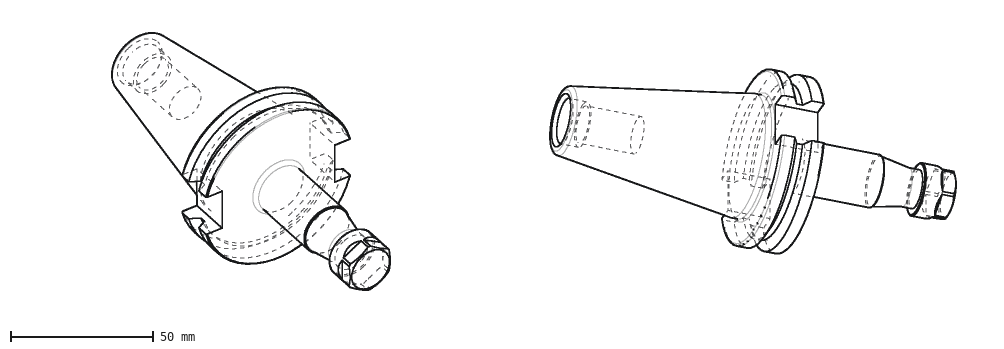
import cadquery as cq
import math


gauge_radius = 44.45 / 2
taper_length = 68.25
taper_slope = 7 / 48
shank_end_x = -taper_length
shank_end_radius = gauge_radius - taper_length * taper_slope
shank_end_fillet = 1.5

flange_front_x = 3.175
flange_back_x = 19.05
flange_radius = 63.26 / 2
flange_front_fillet = 0.9
flange_back_fillet = 0.4
flange_root_fillet = 0.9

groove_center_x = 11.15
groove_floor_width = 2.2
groove_floor_radius = 56 / 2
groove_wall_angle = 30

slot_width = 16.26
slot_floor_y = 23.9

overall_length = 145.16
tip_x = shank_end_x + overall_length
nose_radius = 19.05 / 2
nose_root_fillet = 1.5
nose_end_x = 49.6
nose_edge_chamfer = 0.4
neck_start_x = 60.75
neck_radius = 14 / 2

nut_start_x = 64.7
nut_radius = 19.05 / 2
nut_edge_chamfer = 0.4
nut_across_flats = 17
flat_start_x = 71.7
nut_tip_radius = 8
nut_tip_angle = 30

bore_radius = 16.26 / 2
bore_depth = 8
bore_mouth_radius = 19.05 / 2
bore_mouth_angle = 45
thread_radius = 13.39 / 2
thread_depth = 28.5


def revolve_about_x(profile):
    """Turn a closed (x, radius) profile about the X axis."""
    return profile.close().revolve(360, (0, 0, 0), (1, 0, 0))


def make_turned_body():
    tip_chamfer = (nut_radius - nut_tip_radius) * math.tan(math.radians(nut_tip_angle))

    taper_angle = math.atan(taper_slope)
    arc_x = shank_end_x + shank_end_fillet
    arc_radius = shank_end_radius + shank_end_fillet * (taper_slope - 1 / math.cos(taper_angle))

    def arc_point(angle):
        return (
            arc_x + shank_end_fillet * math.cos(angle),
            arc_radius + shank_end_fillet * math.sin(angle),
        )

    taper_tangent = math.pi / 2 + taper_angle
    arc_middle = (math.pi + taper_tangent) / 2

    profile = (
        cq.Workplane("XY")
        .moveTo(shank_end_x, 0)
        .lineTo(*arc_point(math.pi))
        .threePointArc(arc_point(arc_middle), arc_point(taper_tangent))
        .lineTo(0, gauge_radius)
        .lineTo(flange_front_x - flange_root_fillet, gauge_radius)
        .radiusArc((flange_front_x, gauge_radius + flange_root_fillet), -flange_root_fillet)
        .lineTo(flange_front_x, flange_radius - flange_front_fillet)
        .radiusArc((flange_front_x + flange_front_fillet, flange_radius), flange_front_fillet)
        .lineTo(flange_back_x - flange_back_fillet, flange_radius)
        .radiusArc((flange_back_x, flange_radius - flange_back_fillet), flange_back_fillet)
        .lineTo(flange_back_x, nose_radius + nose_root_fillet)
        .radiusArc((flange_back_x + nose_root_fillet, nose_radius), -nose_root_fillet)
        .lineTo(nose_end_x - nose_edge_chamfer, nose_radius)
        .lineTo(nose_end_x, nose_radius - nose_edge_chamfer)
        .lineTo(neck_start_x, neck_radius)
        .lineTo(nut_start_x, neck_radius)
        .lineTo(nut_start_x, nut_radius - nut_edge_chamfer)
        .lineTo(nut_start_x + nut_edge_chamfer, nut_radius)
        .lineTo(tip_x - tip_chamfer, nut_radius)
        .lineTo(tip_x, nut_tip_radius)
        .lineTo(tip_x, 0)
    )
    return revolve_about_x(profile)


def make_gripper_groove():
    half_floor = groove_floor_width / 2
    wall_run = (flange_radius - groove_floor_radius) * math.tan(math.radians(groove_wall_angle))
    half_mouth = half_floor + wall_run
    profile = (
        cq.Workplane("XY")
        .moveTo(groove_center_x - half_floor, groove_floor_radius)
        .lineTo(groove_center_x + half_floor, groove_floor_radius)
        .lineTo(groove_center_x + half_mouth, flange_radius)
        .lineTo(groove_center_x - half_mouth, flange_radius)
    )
    return revolve_about_x(profile)


def make_drive_slot(side):
    """Slot on the +Y (side = 1) or -Y (side = -1) edge of the flange."""
    depth = flange_radius - slot_floor_y
    return cq.Workplane("XY").box(
        flange_back_x - flange_front_x, depth, slot_width
    ).translate(((flange_front_x + flange_back_x) / 2, side * (slot_floor_y + depth / 2), 0))


def make_nut_flat(angle):
    """Material removed for one wrench flat, with a 45 degree run-out into the nut."""
    flat_height = nut_across_flats / 2
    runout = nut_radius - flat_height
    return (
        cq.Workplane("XY")
        .moveTo(flat_start_x, flat_height)
        .lineTo(tip_x, flat_height)
        .lineTo(tip_x, nut_radius)
        .lineTo(flat_start_x - runout, nut_radius)
        .close()
        .extrude(nut_radius, both=True)
        .rotate((0, 0, 0), (1, 0, 0), angle)
    )


def make_pull_stud_bore():
    mouth_depth = (bore_mouth_radius - bore_radius) / math.tan(math.radians(bore_mouth_angle))
    profile = (
        cq.Workplane("XY")
        .moveTo(shank_end_x, 0)
        .lineTo(shank_end_x, bore_mouth_radius)
        .lineTo(shank_end_x + mouth_depth, bore_radius)
        .lineTo(shank_end_x + bore_depth, bore_radius)
        .lineTo(shank_end_x + bore_depth, thread_radius)
        .lineTo(shank_end_x + thread_depth, thread_radius)
        .lineTo(shank_end_x + thread_depth, 0)
    )
    return revolve_about_x(profile)


result = make_turned_body().cut(make_gripper_groove()).cut(make_pull_stud_bore())
for slot_side in (1, -1):
    result = result.cut(make_drive_slot(slot_side))
for flat_angle in range(0, 360, 60):
    result = result.cut(make_nut_flat(flat_angle))